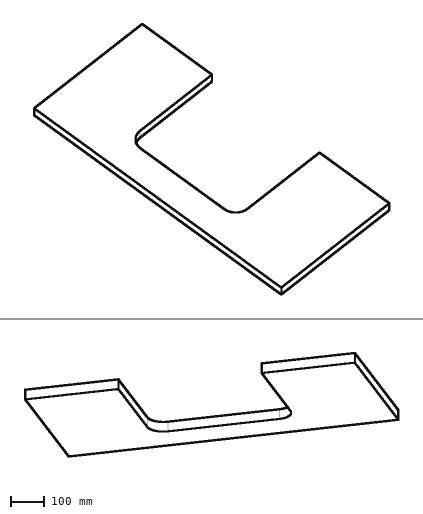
import cadquery as cq

length = 1036.0
depth = 470.0
thickness = 32.0

cutout_width = 450.0
cutout_depth = 362.5
cutout_corner_radius = 50.0


def make_panel():
    return cq.Workplane("XY").box(length, depth, thickness)


def make_cutout():
    cutout_centre_y = (depth - cutout_depth) / 2
    return (
        cq.Workplane("XY")
        .center(0, cutout_centre_y)
        .rect(cutout_width, cutout_depth)
        .extrude(thickness / 2, both=True)
        .edges("|Z and <Y")
        .fillet(cutout_corner_radius)
    )


result = make_panel().cut(make_cutout())